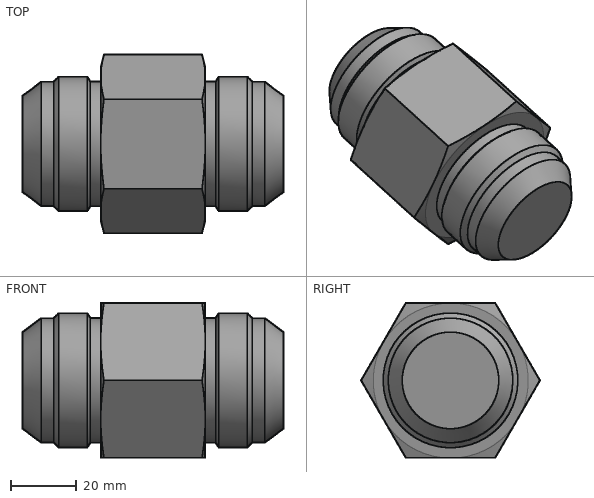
import cadquery as cq
import math

length = 80.0
hex_flats = 47.5
hex_width = 32.0
hex_corners = hex_flats / math.cos(math.pi / 6)
hex_chamfer_angle = math.radians(15)

tip_diameter = 29.6
nose_diameter = 38.2
collar_diameter = 41.3
neck_diameter = 38.3

cone_length = 5.7
collar_start = 9.5
collar_end = 20.8
outer_chamfer = 1.6
inner_chamfer = 1.0


def turned_body():
    """Revolve both ends and the solid core between them about X."""
    outline = [
        (0, tip_diameter / 2),
        (cone_length, nose_diameter / 2),
        (collar_start, nose_diameter / 2),
        (collar_start + outer_chamfer, collar_diameter / 2),
        (collar_end - inner_chamfer, collar_diameter / 2),
        (collar_end, neck_diameter / 2),
    ]
    left = [(x - length / 2, radius) for x, radius in outline]
    right = [(-x, radius) for x, radius in reversed(left)]
    profile = [(-length / 2, 0)] + left + right + [(length / 2, 0)]
    return cq.Workplane("XZ").polyline(profile).close().revolve(360, (0, 0, 0), (1, 0, 0))


def hexagon():
    """Hexagon with flats facing +Z and -Z and conically chamfered corners."""
    half_width = hex_width / 2
    face_radius = hex_flats / 2
    corner_radius = hex_corners / 2
    chamfer_length = (corner_radius - face_radius) * math.tan(hex_chamfer_angle)
    prism = cq.Workplane("YZ").polygon(6, hex_corners).extrude(half_width, both=True)
    envelope = (
        cq.Workplane("XY")
        .moveTo(-half_width, 0)
        .lineTo(-half_width, face_radius)
        .lineTo(chamfer_length - half_width, corner_radius)
        .lineTo(half_width - chamfer_length, corner_radius)
        .lineTo(half_width, face_radius)
        .lineTo(half_width, 0)
        .close()
        .revolve(360, (0, 0, 0), (1, 0, 0))
    )
    return prism.intersect(envelope)


result = turned_body().union(hexagon())